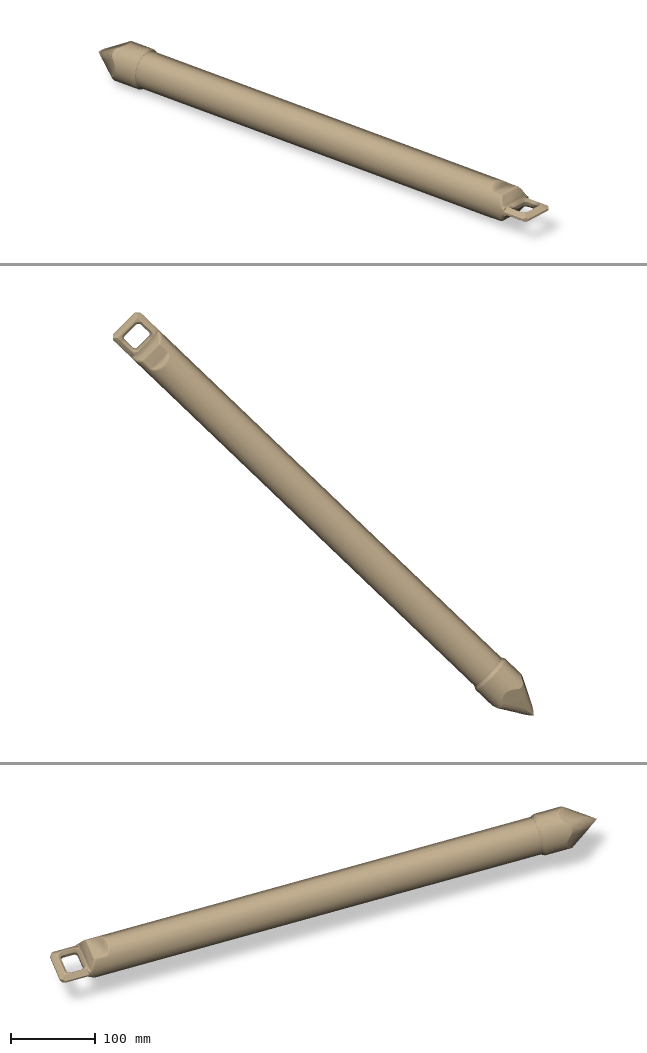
import cadquery as cq
import math

length = 675.5
rod_radius = 23.0

collar_radius = 25.35
nose_length = 46.5
collar_end = 76.0
collar_bevel_length = 4.0
collar_bevel_depth = 2.0
nose_corner_radius = 10.0
tip_half_side = nose_corner_radius * (1 - math.sqrt(0.5))

step_start = 610.0
step_run = 6.0
flat_half_height = 17.5
flat_end = 632.0
tab_start = 639.0
rod_end = 641.0
tab_half_thickness = 5.5
step_root_fillet = 5.5
flat_edge_fillet = 3.0
tab_root_fillet = 2.0

tab_half_width = 23.0
tab_corner_chamfer = 5.0
tab_edge_width = 6.0
tab_edge_depth = 4.0
window_start = 644.0
window_end = 665.0
window_half_width = 13.5
window_corner_radius = 4.0
window_edge_chamfer = 3.05


def cylinder(radius, start, end):
    """Round bar along X."""
    return cq.Workplane("YZ", origin=(start, 0, 0)).circle(radius).extrude(end - start)


def rounded_corner(half_side, x):
    """Wire across X: a large square whose one rounded corner lies half_side from both axes."""
    far = -2 * collar_radius
    flat = half_side - nose_corner_radius
    bulge = flat + nose_corner_radius * math.sqrt(0.5)
    sketch = cq.Workplane("YZ", origin=(x, 0, 0)).moveTo(far, far).lineTo(half_side, far)
    sketch = sketch.lineTo(half_side, flat).threePointArc((bulge, bulge), (flat, half_side))
    return sketch.lineTo(far, half_side).close().val()


def make_nose():
    """Four-sided point with rounded edges, trimmed by the round collar."""
    sections = [rounded_corner(tip_half_side, 0), rounded_corner(collar_radius, nose_length)]
    wedge = cq.Workplane(cq.Solid.makeLoft(sections, True))
    faceted = cylinder(collar_radius, 0, nose_length)
    for quarter in range(4):
        faceted = faceted.intersect(wedge.rotate((0, 0, 0), (1, 0, 0), 90 * quarter))
    bevel_start = collar_end - collar_bevel_length
    collar = cylinder(collar_radius, nose_length, bevel_start)
    bevel = cq.Workplane(cq.Solid.makeCone(
        collar_radius, collar_radius - collar_bevel_depth, collar_bevel_length,
        cq.Vector(bevel_start, 0, 0), cq.Vector(1, 0, 0)))
    return faceted.union(collar).union(bevel)


def edges_at(profile, x, z):
    """Edges along Y that pass through (x, z) and its mirror below."""
    half_box = 1.0
    picked = profile.newObject([])
    for height in (z, -z):
        picked = picked.add(profile.edges(cq.selectors.BoxSelector(
            (x - half_box, -half_box, height - half_box),
            (x + half_box, half_box, height + half_box))))
    return picked


def make_rod():
    """Round rod, stepped down to a flat and then to the tab, alike above and below."""
    upper = [
        (nose_length, rod_radius),
        (step_start, rod_radius),
        (step_start + step_run, flat_half_height),
        (flat_end, flat_half_height),
        (tab_start, tab_half_thickness),
        (rod_end, tab_half_thickness),
    ]
    lower = [(x, -z) for x, z in reversed(upper)]
    profile = cq.Workplane("XZ").polyline(upper + lower).close().extrude(rod_radius, both=True)

    profile = edges_at(profile, step_start + step_run, flat_half_height).fillet(step_root_fillet)
    profile = edges_at(profile, tab_start, tab_half_thickness).fillet(tab_root_fillet)
    rod = cylinder(rod_radius, nose_length, rod_end).intersect(profile)
    margin = 1.0
    reach = rod_radius + margin
    flat_edges = rod.edges("|X").edges(cq.selectors.BoxSelector(
        (step_start + step_run, -reach, -reach), (flat_end, reach, reach)))
    slope_edges = rod.edges(cq.selectors.BoxSelector(
        (flat_end - margin, -reach, -reach), (tab_start - 2 * margin, reach, reach)))
    return flat_edges.add(slope_edges).fillet(flat_edge_fillet)


def beveled_section(plane, half_width):
    """Sketch of a flat bar section with all four corners beveled."""
    shoulder = half_width - tab_edge_width
    rim_half_height = tab_half_thickness - tab_edge_depth
    quarter = [(half_width, rim_half_height), (shoulder, tab_half_thickness)]
    upper = quarter + [(-y, z) for y, z in reversed(quarter)]
    lower = [(-y, -z) for y, z in upper]
    return plane.polyline(upper + lower).close()


def make_tab():
    """Flat eye plate with its rim beveled on the sides and the free end."""
    tab_length = length - tab_start
    outline = cq.Workplane("XY").box(tab_length, 2 * tab_half_width, 2 * tab_half_thickness)
    outline = outline.translate((length - tab_length / 2, 0, 0))
    outline = outline.edges("|Z and >X").chamfer(tab_corner_chamfer)
    side_bevels = beveled_section(cq.Workplane("YZ"), tab_half_width).extrude(length)
    end_bevels = beveled_section(cq.Workplane("XZ"), length).extrude(tab_half_width, both=True)
    return outline.intersect(side_bevels).intersect(end_bevels)


def window_sketch(edge_offset):
    """Rounded window outline, grown on all sides by edge_offset."""
    width = window_end - window_start + 2 * edge_offset
    height = 2 * (window_half_width + edge_offset)
    return cq.Sketch().rect(width, height).vertices().fillet(window_corner_radius + edge_offset)


def make_window():
    """Rounded opening through the tab, flared at both faces."""
    middle = (window_start + window_end) / 2
    plane = cq.Workplane("XY", origin=(middle, 0, 0))
    opening = plane.placeSketch(window_sketch(0)).extrude(tab_half_thickness, both=True)
    narrow_height = tab_half_thickness - window_edge_chamfer
    flare = plane.placeSketch(
        window_sketch(0).moved(cq.Location(cq.Vector(0, 0, narrow_height))),
        window_sketch(window_edge_chamfer).moved(cq.Location(cq.Vector(0, 0, tab_half_thickness))),
    ).loft()
    return opening.union(flare).union(flare.mirror("XY"))


result = make_nose().union(make_rod()).union(make_tab()).cut(make_window())